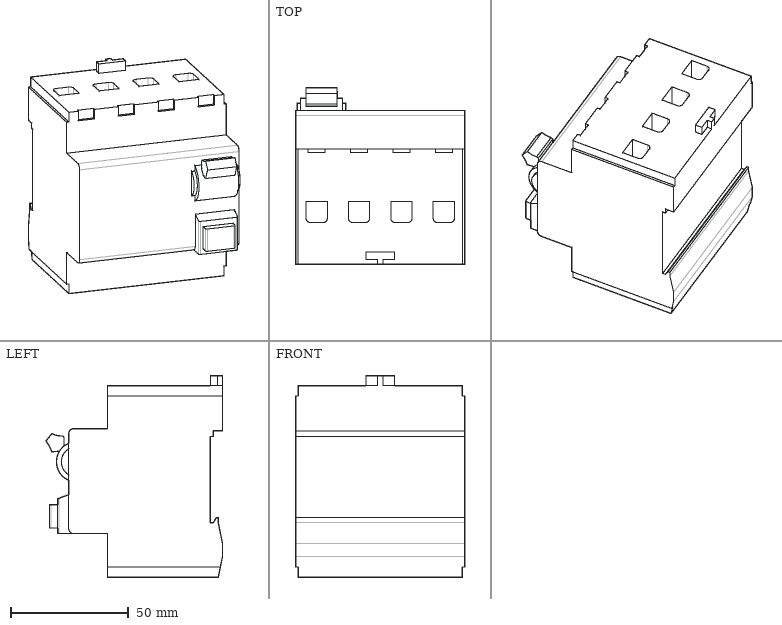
import cadquery as cq

WIDTH = 72.0
HEIGHT = 81.6
BODY_DEPTH = 49.0
NECK_DEPTH = 65.5
NECK_BOTTOM = 18.6
NECK_TOP = 63.3
NECK_ROUND = 2.15

RAIL_DEPTH = 5.2
RAIL_STEP_DEPTH = 3.95
RAIL_BOTTOM = 23.3
RAIL_TOP = 59.9
RAIL_LEDGE_TOP = 62.3
HOOK_TIP_DEPTH = 2.7
HOOK_FACE_DEPTH = 1.8
HOOK_TOP = 25.5
FOOT_TOP = 14.4
FOOT_BOTTOM = 8.9

END_STEP = 1.0
END_STEP_HEIGHT = 4.4

TERMINAL_COUNT = 4
TERMINAL_PITCH = 18.0
TERMINAL_SIZE = 9.0
TERMINAL_FRONT = 17.85
TERMINAL_ROUND = 1.7
TERMINAL_DEPTH = 12.9
NOTCH_WIDTH = 7.2
NOTCH_DEPTH = 1.4
NOTCH_HEIGHT = 4.3

LATCH_TOP = 85.8
LATCH_WIDTH = 12.2
LATCH_DEPTH = 5.2
LATCH_STEM_WIDTH = 2.4
LATCH_STEM_DEPTH = 2.15

LEVER_X = -25.0
DRUM_Y = 62.1
DRUM_Z = 49.2
DRUM_RADIUS = 8.6
DRUM_WIDTH = 17.9
TRUNNION_RADIUS = 6.4
TRUNNION_WIDTH = 20.8
HANDLE_WIDTH = 13.2

HANDLE_HEEL_Y = 67.35
HANDLE_HEEL_BOTTOM = 56.4
HANDLE_HEEL_TOP = 59.6
HANDLE_SHOULDER = (68.1, 60.2)
HANDLE_UPPER_HOLLOW = (70.35, 60.4)
HANDLE_CREST = (72.6, 61.3)
HANDLE_TIP = (75.2, 58.0)
HANDLE_LOWER_HOLLOW = (73.7, 55.8)
HANDLE_CHIN = (72.7, 53.4)
HANDLE_ROOT = (69.4, 53.6)

MOUNT_WIDTH = 17.6
MOUNT_DEPTH = 70.2
MOUNT_TOP = 33.5
MOUNT_ROOT_TOP = 35.3
BUTTON_X = -24.8
BUTTON_WIDTH = 13.4
BUTTON_DEPTH = 73.7
BUTTON_BOTTOM = 20.9
BUTTON_TOP = 31.0
FACE_ROUND = 0.7


def block(x_range, y_range, z_range):
    """Axis-aligned box between the given limits."""
    sizes = [high - low for low, high in (x_range, y_range, z_range)]
    corner = (x_range[0], y_range[0], z_range[0])
    return cq.Workplane("XY").box(*sizes, centered=False).translate(corner)


def centred(width, middle=0.0):
    """Limits of a span of the given width around its middle."""
    return (middle - width / 2, middle + width / 2)


def extrude_x(points, width, middle=0.0):
    """Prism of a closed (Y, Z) outline, centred on X = middle."""
    return cq.Workplane("YZ", origin=(middle, 0, 0)).polyline(points).close().extrude(width / 2, both=True)


def disc(radius, width):
    """Cylinder on the lever axis."""
    plane = cq.Workplane("YZ", origin=(LEVER_X, DRUM_Y, DRUM_Z))
    return plane.circle(radius).extrude(width / 2, both=True)


def drum():
    """Lever drum with a thinner trunnion at each end."""
    return disc(DRUM_RADIUS, DRUM_WIDTH).union(disc(TRUNNION_RADIUS, TRUNNION_WIDTH))


def main_body():
    """Body profile across the full width, with its top and bottom ends narrowed."""
    outline = [
        (HOOK_FACE_DEPTH, 0),
        (0, FOOT_BOTTOM),
        (0, FOOT_TOP),
        (HOOK_FACE_DEPTH, RAIL_BOTTOM),
        (HOOK_FACE_DEPTH, HOOK_TOP),
        (HOOK_TIP_DEPTH, HOOK_TOP),
        (RAIL_STEP_DEPTH, RAIL_BOTTOM),
        (RAIL_DEPTH, RAIL_BOTTOM),
        (RAIL_DEPTH, RAIL_TOP),
        (RAIL_STEP_DEPTH, RAIL_TOP),
        (RAIL_STEP_DEPTH, RAIL_LEDGE_TOP),
        (0, RAIL_LEDGE_TOP),
        (0, HEIGHT),
        (BODY_DEPTH, HEIGHT),
        (BODY_DEPTH, 0),
    ]
    body = extrude_x(outline, WIDTH)
    for side in (-1, 1):
        for z_low in (0, HEIGHT - END_STEP_HEIGHT):
            x_range = centred(END_STEP, side * (WIDTH - END_STEP) / 2)
            body = body.cut(block(x_range, (0, BODY_DEPTH), (z_low, z_low + END_STEP_HEIGHT)))
    return body


def neck():
    """Raised middle section on the operating side."""
    shape = block(centred(WIDTH), (BODY_DEPTH, NECK_DEPTH), (NECK_BOTTOM, NECK_TOP))
    return shape.faces(">Y").edges("|X").fillet(NECK_ROUND)


def latch():
    """T-shaped latch standing on the top face."""
    z_range = (HEIGHT, LATCH_TOP)
    head = block(centred(LATCH_WIDTH), (LATCH_STEM_DEPTH, LATCH_DEPTH), z_range)
    return head.union(block(centred(LATCH_STEM_WIDTH), (0, LATCH_STEM_DEPTH), z_range))


def terminal(x):
    """Wire entry in the top face and the notch behind it."""
    y_range = (TERMINAL_FRONT, TERMINAL_FRONT + TERMINAL_SIZE)
    entry = block(centred(TERMINAL_SIZE, x), y_range, (HEIGHT - TERMINAL_DEPTH, HEIGHT))
    entry = entry.faces("<Y").edges("|Z").fillet(TERMINAL_ROUND)
    notch_y = (BODY_DEPTH - NOTCH_DEPTH, BODY_DEPTH)
    return entry.union(block(centred(NOTCH_WIDTH, x), notch_y, (HEIGHT - NOTCH_HEIGHT, HEIGHT)))


def rounded_block(width, middle, depth, z_range):
    """Block rooted in the neck, with the upright edges of its operating face rounded."""
    shape = block(centred(width, middle), (NECK_DEPTH - NECK_ROUND, depth), z_range)
    return shape.faces(">Y").edges("|Z").fillet(FACE_ROUND)


def test_button():
    """Button and its mount, which slopes down from the neck on top."""
    mount = rounded_block(MOUNT_WIDTH, LEVER_X, MOUNT_DEPTH, (NECK_BOTTOM, MOUNT_ROOT_TOP))
    slope = [(NECK_DEPTH, MOUNT_ROOT_TOP), (MOUNT_DEPTH, MOUNT_TOP), (MOUNT_DEPTH, MOUNT_ROOT_TOP)]
    mount = mount.cut(extrude_x(slope, MOUNT_WIDTH, LEVER_X))
    return mount.union(rounded_block(BUTTON_WIDTH, BUTTON_X, BUTTON_DEPTH, (BUTTON_BOTTOM, BUTTON_TOP)))


def make_housing():
    """Housing with its terminals and the recess that holds the lever drum."""
    housing = main_body().union(neck()).union(latch()).union(test_button())
    for index in range(TERMINAL_COUNT):
        housing = housing.cut(terminal((index - (TERMINAL_COUNT - 1) / 2) * TERMINAL_PITCH))
    return housing.cut(drum())


def make_lever():
    """Lever: drum, trunnions and handle."""
    handle = (
        cq.Workplane("YZ", origin=(LEVER_X, 0, 0))
        .moveTo(DRUM_Y, DRUM_Z)
        .lineTo(HANDLE_HEEL_Y, HANDLE_HEEL_BOTTOM)
        .lineTo(HANDLE_HEEL_Y, HANDLE_HEEL_TOP)
        .lineTo(*HANDLE_SHOULDER)
        .threePointArc(HANDLE_UPPER_HOLLOW, HANDLE_CREST)
        .lineTo(*HANDLE_TIP)
        .threePointArc(HANDLE_LOWER_HOLLOW, HANDLE_CHIN)
        .lineTo(*HANDLE_ROOT)
        .close()
        .extrude(HANDLE_WIDTH / 2, both=True)
    )
    return drum().union(handle)


housing = make_housing()
lever = make_lever()

result = cq.Compound.makeCompound([housing.val(), lever.val()])